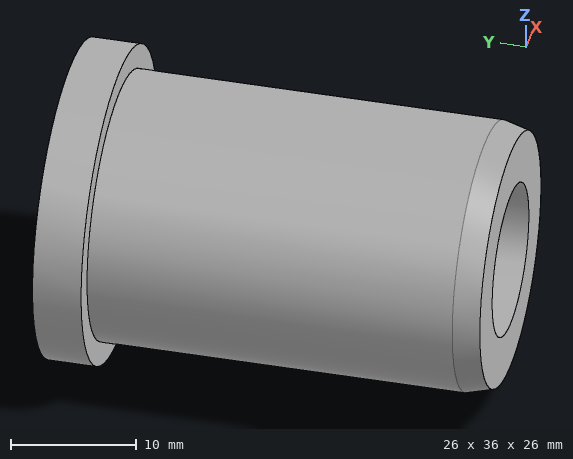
import cadquery as cq
import math

total_length = 36.0
flange_diameter = 26.0
flange_thickness = 4.0
body_diameter = 22.0
bore_diameter = 12.5
taper_length = 2.12
taper_angle = 15.0

flange_radius = flange_diameter / 2
body_radius = body_diameter / 2
bore_radius = bore_diameter / 2
tip_radius = body_radius - taper_length * math.tan(math.radians(taper_angle))
flange_start = total_length - flange_thickness

half_section = (
    cq.Workplane("XY")
    .moveTo(bore_radius, 0)
    .lineTo(tip_radius, 0)
    .lineTo(body_radius, taper_length)
    .lineTo(body_radius, flange_start)
    .lineTo(flange_radius, flange_start)
    .lineTo(flange_radius, total_length)
    .lineTo(bore_radius, total_length)
    .close()
)

result = half_section.revolve(360, (0, 0, 0), (0, 1, 0))